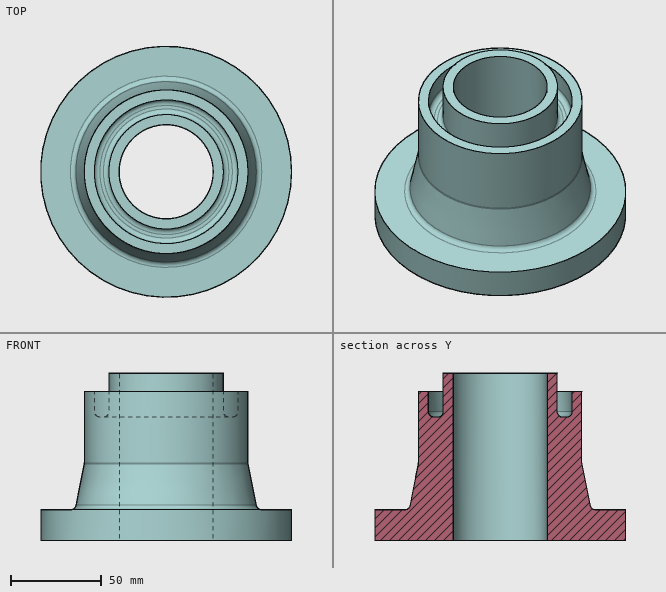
import cadquery as cq

flange_radius = 69.0
flange_height = 17.0
total_height = 92.0

bore_radius = 25.8
tube_radius = 31.5

sleeve_radius = 45.0
sleeve_inner_radius = 39.5
sleeve_top = 81.9

neck_root_radius = 50.0
neck_top = 42.3

groove_depth = 14.0
groove_floor = sleeve_top - groove_depth

fillet_radius = 3.0


class CircleSelector(cq.Selector):
    """Selects circular edges of a given radius at a given height."""

    def __init__(self, radius, height, tolerance=0.01):
        self.radius = radius
        self.height = height
        self.tolerance = tolerance

    def matches(self, edge):
        if edge.geomType() != "CIRCLE":
            return False
        same_radius = abs(edge.radius() - self.radius) < self.tolerance
        same_height = abs(edge.Center().z - self.height) < self.tolerance
        return same_radius and same_height

    def filter(self, edges):
        return [edge for edge in edges if self.matches(edge)]


section = [
    (bore_radius, 0),
    (flange_radius, 0),
    (flange_radius, flange_height),
    (neck_root_radius, flange_height),
    (sleeve_radius, neck_top),
    (sleeve_radius, sleeve_top),
    (sleeve_inner_radius, sleeve_top),
    (sleeve_inner_radius, groove_floor),
    (tube_radius, groove_floor),
    (tube_radius, total_height),
    (bore_radius, total_height),
]
body = cq.Workplane("XZ").polyline(section).close().revolve(360, (0, 0, 0), (0, 1, 0))

filleted_circles = [
    (neck_root_radius, flange_height),
    (sleeve_radius, neck_top),
    (sleeve_inner_radius, groove_floor),
    (tube_radius, groove_floor),
]
for circle_radius, circle_height in filleted_circles:
    body = body.edges(CircleSelector(circle_radius, circle_height)).fillet(fillet_radius)

result = body